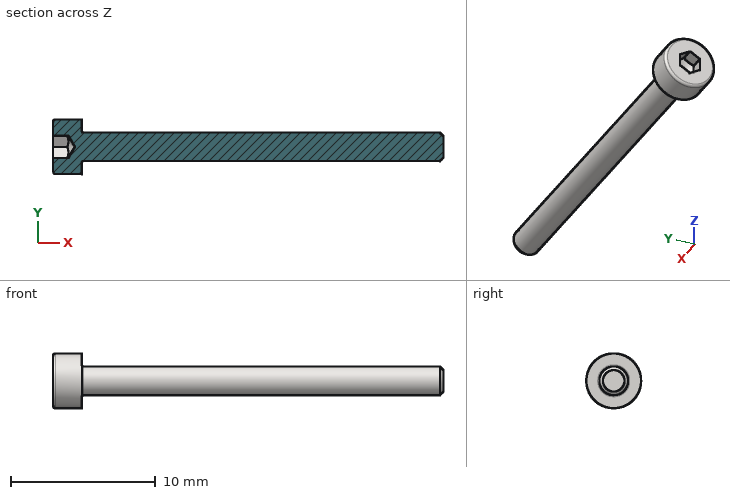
import cadquery as cq
import math

total_length = 27.0
head_diameter = 3.8
head_height = 2.0
head_edge_radius = 0.2
shank_diameter = 2.0
tip_chamfer = 0.256
neck_fillet = 0.1
socket_across_flats = 1.5
socket_depth = 1.0
socket_cone_angle = 120.0


def make_head():
    head = cq.Workplane("YZ").circle(head_diameter / 2).extrude(head_height)
    return head.faces("<X").edges().fillet(head_edge_radius)


def make_shank():
    shank = (
        cq.Workplane("YZ")
        .workplane(offset=head_height)
        .circle(shank_diameter / 2)
        .extrude(total_length - head_height)
    )
    return shank.faces(">X").edges().chamfer(tip_chamfer)


def make_neck_fillet():
    """Concave ring that blends the shank into the underside of the head."""
    shank_radius = shank_diameter / 2
    arc_middle = neck_fillet * (1 - math.sqrt(0.5))
    return (
        cq.Workplane("XY")
        .moveTo(head_height, 0)
        .lineTo(head_height, shank_radius + neck_fillet)
        .threePointArc(
            (head_height + arc_middle, shank_radius + arc_middle),
            (head_height + neck_fillet, shank_radius),
        )
        .lineTo(head_height + neck_fillet, 0)
        .close()
        .revolve(360, (0, 0, 0), (1, 0, 0))
    )


def make_socket():
    """Hexagonal socket with corners at +Z and -Z; its conical floor reaches the corners."""
    corner_radius = socket_across_flats / math.sqrt(3)
    corner_angles = [math.radians(90 + 60 * i) for i in range(6)]
    corners = [(corner_radius * math.cos(a), corner_radius * math.sin(a)) for a in corner_angles]
    cone_height = corner_radius / math.tan(math.radians(socket_cone_angle / 2))
    hexagon = cq.Workplane("YZ").polyline(corners).close().extrude(socket_depth + cone_height)
    pointed_bore = (
        cq.Workplane("XY")
        .polyline(
            [
                (0, 0),
                (0, head_diameter / 2),
                (socket_depth, head_diameter / 2),
                (socket_depth, corner_radius),
                (socket_depth + cone_height, 0),
            ]
        )
        .close()
        .revolve(360, (0, 0, 0), (1, 0, 0))
    )
    return hexagon.intersect(pointed_bore)


result = make_head().union(make_shank()).union(make_neck_fillet()).cut(make_socket())